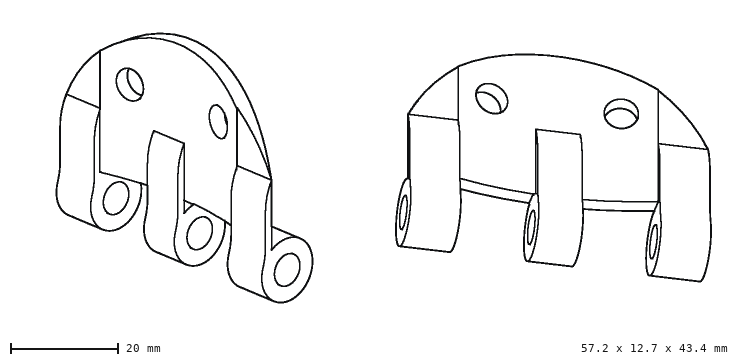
import cadquery as cq
import math

width = 57.15
half_width = width / 2
barrel_radius = 6.35
bore_diameter = 6.35
top_z = 37.0
shoulder_z = 19.05
plate_bottom_z = barrel_radius

back_crown_y = 1.95
flat_face_y = -3.9
plate_thickness = 3.4
back_sag = back_crown_y - flat_face_y
back_radius = (half_width**2 + back_sag**2) / (2 * back_sag)
curve_center_y = back_crown_y - back_radius
front_radius = back_radius - plate_thickness

side_knuckle_width = 9.55
middle_knuckle_width = 8.45
leaf_thickness = 1.55
leaf_front_y = flat_face_y - leaf_thickness
blend_radius = 12.7
inner_side_x = half_width - side_knuckle_width
knuckle_spans = [
    (-half_width, side_knuckle_width),
    (-middle_knuckle_width / 2, middle_knuckle_width),
    (inner_side_x, side_knuckle_width),
]

hole_diameter = 6.35
hole_z = 25.45
hole_angle = 10.2


def box(x, y, z, dx, dy, dz):
    """Box given by its lowest corner and its sizes."""
    return cq.Workplane("XY").box(dx, dy, dz, centered=False).translate((x, y, z))


def make_plate():
    """Curved plate with flat end pads, domed top and roots reaching into the barrels."""
    front_crown_y = back_crown_y - plate_thickness
    front_edge_y = curve_center_y + math.sqrt(front_radius**2 - inner_side_x**2)
    section = (
        cq.Workplane("XY")
        .moveTo(-half_width, flat_face_y)
        .threePointArc((0, back_crown_y), (half_width, flat_face_y))
        .lineTo(inner_side_x, flat_face_y)
        .lineTo(inner_side_x, front_edge_y)
        .threePointArc((0, front_crown_y), (-inner_side_x, front_edge_y))
        .lineTo(-inner_side_x, flat_face_y)
        .close()
        .extrude(top_z)
    )
    outline = (
        cq.Workplane("XZ")
        .moveTo(-half_width, plate_bottom_z)
        .lineTo(-half_width, shoulder_z)
        .threePointArc((0, top_z), (half_width, shoulder_z))
        .lineTo(half_width, plate_bottom_z)
        .close()
        .extrude(barrel_radius, both=True)
    )
    for start_x, span in knuckle_spans:
        root = box(start_x, -barrel_radius, 0, span, 2 * barrel_radius, plate_bottom_z)
        outline = outline.union(root)
    return section.intersect(outline)


def make_knuckle(start_x, span):
    """Barrel with a thin leaf rising along its front, blended by tangent arcs."""
    crown_z = shoulder_z - math.sqrt(blend_radius**2 - (blend_radius - leaf_thickness)**2)
    crown_mid_angle = math.acos(1 - leaf_thickness / blend_radius) / 2
    crown_mid = (
        leaf_front_y + blend_radius * (1 - math.cos(crown_mid_angle)),
        crown_z + blend_radius * math.sin(crown_mid_angle),
    )
    blend_y = leaf_front_y - blend_radius
    center_distance = barrel_radius + blend_radius
    blend_z = math.sqrt(center_distance**2 - blend_y**2)
    touch = (
        blend_y * barrel_radius / center_distance,
        blend_z * barrel_radius / center_distance,
    )
    blend_mid_angle = math.asin(blend_z / center_distance) / 2
    blend_mid = (
        blend_y + blend_radius * math.cos(blend_mid_angle),
        blend_z - blend_radius * math.sin(blend_mid_angle),
    )
    leaf = (
        cq.Workplane("YZ")
        .moveTo(flat_face_y, 0)
        .lineTo(flat_face_y, shoulder_z)
        .threePointArc(crown_mid, (leaf_front_y, crown_z))
        .lineTo(leaf_front_y, blend_z)
        .threePointArc(blend_mid, touch)
        .close()
        .extrude(span)
    )
    barrel = cq.Workplane("YZ").circle(barrel_radius).extrude(span)
    return barrel.union(leaf).translate((start_x, 0, 0))


def make_screw_hole(angle):
    """Cylinder along the plate's radius at the given angle from the middle."""
    return (
        cq.Workplane("XZ", origin=(0, curve_center_y, hole_z))
        .circle(hole_diameter / 2)
        .extrude(-2 * back_radius)
        .rotate((0, curve_center_y, 0), (0, curve_center_y, 1), angle)
    )


result = make_plate()
for start_x, span in knuckle_spans:
    result = result.union(make_knuckle(start_x, span))

bore = cq.Workplane("YZ").circle(bore_diameter / 2).extrude(half_width, both=True)
result = result.cut(bore)

for angle in (-hole_angle, hole_angle):
    result = result.cut(make_screw_hole(angle))